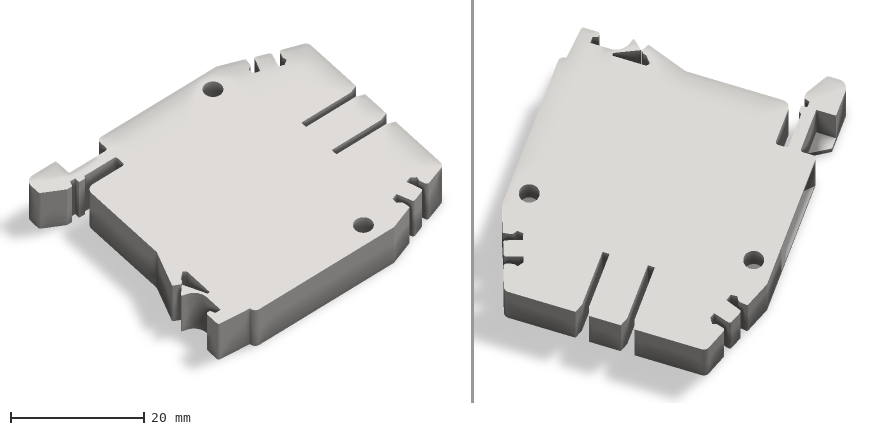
import cadquery as cq
import math

body_width = 42.0
top_y = 44.45
thickness = 8.0
center_x = body_width / 2

arm_top_y = 7.5
base_corner_radius = 1.3
arm_root_radius = 0.45

clip_left_x = -0.5
clip_bottom_y = -6.05
clip_bottom_x = 2.95
clip_nose_x = 5.0
clip_corner_radius = 1.55
clip_tip_radius = 0.45
arm_left_x = 2.65
arm_right_x = 4.55
arm_gap_right_x = 6.6
rail_notch_x = 4.05

ramp_thickness = 1.05
ramp_outer_y = 1.85
ramp_inner_y = 3.85

slot_offset = 3.6
slot_width = 1.1
slot_bottom_y = 33.4
slot_mouth_width = 2.15
slot_mouth_depth = 1.45

hole_inset = 3.25
hole_y = 27.4
hole_diameter = 3.15
hole_depth = 4.05

pocket_top_y = 24.0
pocket_slope_end_y = 18.6
pocket_floor_end_y = 13.15
pocket_bottom_y = 8.5
pocket_depth = 4.15
pocket_skin = 0.5

left_shoulder = [
    (0, 30.7, 0),
    (1.6, 35.1, 0.25),
    (3.1, 34.9, 0.6),
    (3.6, 34.1, 0),
    (4.6, 34.2, 0),
    (4.9, 35.25, 0),
    (2.1, 36.3, 0.35),
    (3.1, 38.9, 0.4),
    (5.9, 38.0, 0),
    (6.2, 38.9, 0),
    (5.6, 39.8, 0),
    (4.95, 39.6, 0),
    (3.45, 40.05, 0.45),
    (5.0, top_y, 1.0),
]
right_shoulder = [(body_width - x, y, r) for x, y, r in reversed(left_shoulder)]

right_foot = [
    (body_width, 3.6, 0.95),
    (41.0, 3.6, 0),
    (40.5, -2.15, 0.4),
    (37.55, -2.15, 0.4),
    (37.55, -1.35, 0.25),
    (38.45, -1.0, 0),
    (38.45, 0, 0),
    (33.25, 0, 2.5),
    (32.5, -2.9, 0.15),
    (30.8, -1.25, 0),
    (34.65, 0.55, 0),
    (34.65, 1.0, 0),
    (29.2, 1.0, 0.25),
    (28.8, 0.5, 0.2),
    (29.8, -0.65, 0),
    (30.3, -0.8, 0),
    (30.7, -1.25, 0),
    (30.05, -2.5, 0.2),
    (23.35, 0, 0),
]

clip_and_arm = [
    (arm_gap_right_x, 0, base_corner_radius),
    (arm_gap_right_x, arm_top_y, arm_root_radius),
    (arm_right_x, arm_top_y, arm_root_radius),
    (arm_right_x, 1.35, 0),
    (clip_nose_x, 1.15, 0.15),
    (clip_nose_x, 0, 0),
    (rail_notch_x, 0, 0),
    (rail_notch_x, -1.0, 0),
    (clip_nose_x, -1.3, 0.15),
    (clip_nose_x, -2.3, 0),
    (clip_bottom_x, clip_bottom_y, clip_tip_radius),
    (clip_left_x, clip_bottom_y, clip_corner_radius),
    (clip_left_x, 0, 0),
    (arm_left_x, 0, 0),
    (arm_left_x, arm_top_y, arm_root_radius),
    (0, arm_top_y, 0.75),
]


def corner_arc(before, corner, after, radius):
    """Start, middle and end of the arc that rounds one corner of an outline."""
    vertex = cq.Vector(corner[0], corner[1])
    toward_before = (cq.Vector(before[0], before[1]) - vertex).normalized()
    toward_after = (cq.Vector(after[0], after[1]) - vertex).normalized()
    half_angle = toward_before.getAngle(toward_after) / 2
    setback = radius / math.tan(half_angle)
    apex_distance = radius / math.sin(half_angle) - radius
    bisector = (toward_before + toward_after).normalized()
    return (
        vertex + toward_before * setback,
        vertex + bisector * apex_distance,
        vertex + toward_after * setback,
    )


def rounded_prism(corners, height):
    """Extrude a closed outline of (x, y, radius) corners; the first corner is sharp."""
    outline = cq.Workplane("XY").moveTo(corners[0][0], corners[0][1])
    for index in range(1, len(corners)):
        x, y, radius = corners[index]
        if radius == 0:
            outline = outline.lineTo(x, y)
            continue
        following = corners[(index + 1) % len(corners)]
        start, middle, end = corner_arc(corners[index - 1], corners[index], following, radius)
        outline = outline.lineTo(start.x, start.y)
        outline = outline.threePointArc((middle.x, middle.y), (end.x, end.y))
    return outline.close().extrude(height)


def top_slot(slot_x):
    """Straight slot with a flared mouth at the top edge."""
    half_width = slot_width / 2
    half_mouth = slot_mouth_width / 2
    mouth_y = top_y - slot_mouth_depth
    right_side = [(half_width, slot_bottom_y), (half_width, mouth_y), (half_mouth, top_y)]
    left_side = [(-x, y) for x, y in reversed(right_side)]
    points = [(slot_x + x, y) for x, y in right_side + left_side]
    return cq.Workplane("XY").polyline(points).close().extrude(thickness)


def clip_ramp():
    """Thin wedge on the underside that closes the step above the clip."""
    points = [
        (clip_left_x, 0),
        (arm_left_x, 0),
        (arm_left_x, ramp_inner_y),
        (clip_left_x, ramp_outer_y),
    ]
    return cq.Workplane("XY").polyline(points).close().extrude(ramp_thickness)


def finger_pocket():
    """Pocket with sloping ends, leaving a thin skin above and below."""
    points = [
        (0, pocket_top_y),
        (pocket_depth, pocket_slope_end_y),
        (pocket_depth, pocket_floor_end_y),
        (0, pocket_bottom_y),
    ]
    pocket = cq.Workplane("XY").workplane(offset=pocket_skin).polyline(points).close()
    return pocket.extrude(thickness - 2 * pocket_skin)


def blind_holes():
    """Pair of round holes sunk from the upper face."""
    centers = [(hole_inset, hole_y), (body_width - hole_inset, hole_y)]
    holes = cq.Workplane("XY").workplane(offset=thickness - hole_depth).pushPoints(centers)
    return holes.circle(hole_diameter / 2).extrude(hole_depth)


body = rounded_prism(left_shoulder + right_shoulder + right_foot + clip_and_arm, thickness)
body = body.union(clip_ramp())
for side in (-1, 1):
    body = body.cut(top_slot(center_x + side * slot_offset))
body = body.cut(finger_pocket())
result = body.cut(blind_holes())